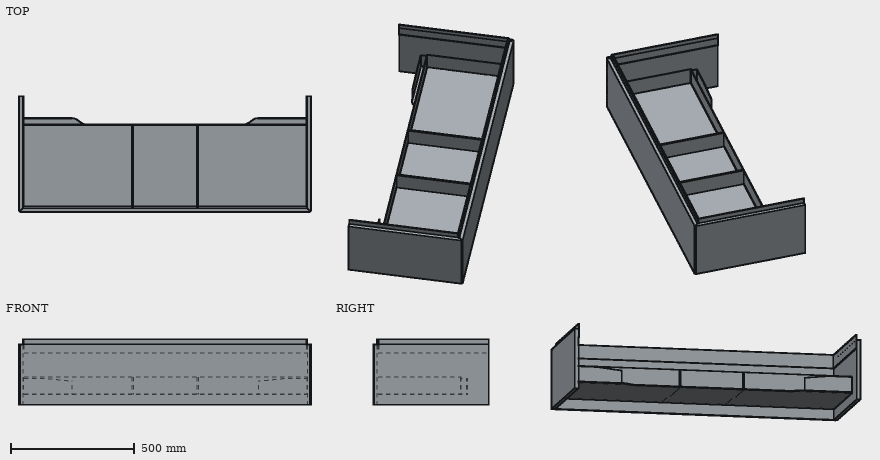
import cadquery as cq

width = 1184.0
depth = 470.0
total_height = 266.0

panel_height = 245.0
panel_thickness = 15.0
corner_chamfer = 6.0

rim_bottom = 211.0
rim_side_thickness = 4.0
rim_front_thickness = 7.0
rim_chamfer = 4.0

tray_floor_top = 46.0
floor_thickness = 4.0
tray_top = 115.0
rear_lip_top = 108.0
rear_lip_end = 97.0
lip_slope_start = 480.0
sheet = 2.0
tray_back = 355.0
bay_depth = 26.0
bay_shoulder = 379.0
bay_foot = 317.0
divider_thickness = 7.0
divider_centre = 131.0

half_width = width / 2
sides = (-1, 1)
inner_half_width = half_width - panel_thickness
bay_back = tray_back + bay_depth


def prism(points, bottom, top):
    """Upright prism over a polygon."""
    return cq.Workplane("XY").workplane(offset=bottom).polyline(points).close().extrude(top - bottom)


def block(x_range, y_range, z_range):
    """Axis-aligned box between pairs of limits."""
    (x0, x1), (y0, y1) = x_range, y_range
    return prism([(x0, y0), (x1, y0), (x1, y1), (x0, y1)], *z_range)


def make_front_panel():
    """Front panel with mitred ends and chamfered outer corners."""
    tip = half_width - corner_chamfer
    mitre = half_width - corner_chamfer / 2
    points = [
        (-tip, 0),
        (tip, 0),
        (mitre, corner_chamfer / 2),
        (inner_half_width, panel_thickness),
        (-inner_half_width, panel_thickness),
        (-mitre, corner_chamfer / 2),
    ]
    return prism(points, 0, panel_height)


def make_side_panel(side):
    """Side panel with its front end mitred; side is -1 for left, 1 for right."""
    points = [
        (side * (half_width - corner_chamfer / 2), corner_chamfer / 2),
        (side * half_width, corner_chamfer),
        (side * half_width, depth),
        (side * inner_half_width, depth),
        (side * inner_half_width, panel_thickness),
    ]
    return prism(points, 0, panel_height)


def make_rim():
    """U-shaped rim, open at the rear, with chamfered front corners."""
    heights = (rim_bottom, total_height)
    outer = block((-inner_half_width, inner_half_width), (panel_thickness, depth), heights)
    outer = outer.edges("|Z and <Y").chamfer(rim_chamfer)
    opening_half_width = inner_half_width - rim_side_thickness
    opening = block(
        (-opening_half_width, opening_half_width),
        (panel_thickness + rim_front_thickness, depth),
        heights,
    )
    return outer.cut(opening)


def make_tray_floor():
    """Floor plate whose rear edge steps out to the bays through S-curves."""
    leftward = (-1, 0)
    return (
        cq.Workplane("XY").workplane(offset=tray_floor_top - floor_thickness)
        .moveTo(-inner_half_width, panel_thickness)
        .lineTo(inner_half_width, panel_thickness)
        .lineTo(inner_half_width, bay_back)
        .lineTo(bay_shoulder, bay_back)
        .spline([(bay_foot, tray_back)], tangents=[leftward, leftward], includeCurrent=True)
        .lineTo(-bay_foot, tray_back)
        .spline([(-bay_shoulder, bay_back)], tangents=[leftward, leftward], includeCurrent=True)
        .lineTo(-inner_half_width, bay_back)
        .close()
        .extrude(floor_thickness)
    )


def make_tray_side(side):
    """Side wall of the tray, lowered to the lip height beside the bay."""
    x_range = (side * inner_half_width, side * (inner_half_width - sheet))
    main = block(x_range, (panel_thickness, tray_back), (tray_floor_top, tray_top))
    beside_bay = block(x_range, (tray_back, bay_back), (tray_floor_top, rear_lip_top))
    return main.union(beside_bay)


def make_rear_lip(side):
    """Upright lip on the rear edge of a bay, falling towards the centre."""
    points = [
        (side * bay_shoulder, tray_floor_top),
        (side * inner_half_width, tray_floor_top),
        (side * inner_half_width, rear_lip_top),
        (side * lip_slope_start, rear_lip_top),
        (side * bay_shoulder, rear_lip_end),
    ]
    return cq.Workplane("XZ", origin=(0, bay_back, 0)).polyline(points).close().extrude(sheet)


def make_tray():
    """Floor with thin side walls and rear lips, open at the front and between the bays."""
    tray = make_tray_floor()
    for side in sides:
        tray = tray.union(make_tray_side(side)).union(make_rear_lip(side))
    return tray


def make_back_wall():
    """Straight wall across the tray, in front of the bays."""
    return block(
        (sheet - inner_half_width, inner_half_width - sheet),
        (tray_back - sheet, tray_back),
        (tray_floor_top, tray_top),
    )


def make_divider(side):
    """Upright divider from the front panel to the back wall."""
    centre = side * divider_centre
    return block(
        (centre - divider_thickness / 2, centre + divider_thickness / 2),
        (panel_thickness, tray_back - sheet),
        (tray_floor_top, tray_top),
    )


front_panel = make_front_panel()
side_panels = [make_side_panel(side) for side in sides]
rim = make_rim()
tray = make_tray()
back_wall = make_back_wall()
dividers = [make_divider(side) for side in sides]

result = cq.Compound.makeCompound([
    front_panel.val(),
    *[panel.val() for panel in side_panels],
    rim.val(),
    tray.val(),
    back_wall.val(),
    *[divider.val() for divider in dividers],
])